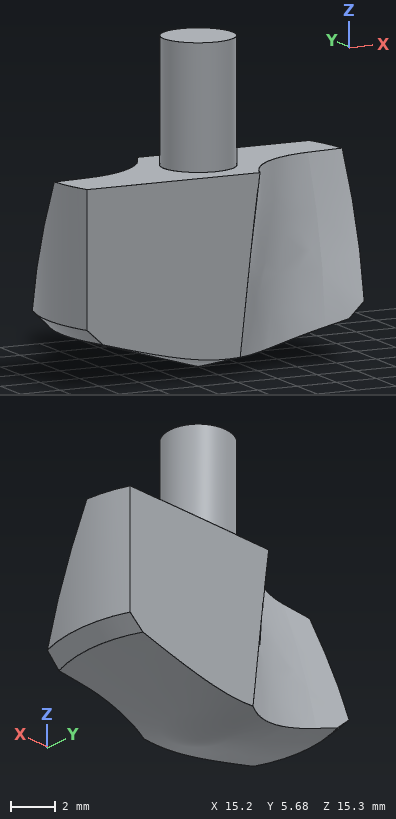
import cadquery as cq
import math

total_height = 15.3
shank_diameter = 3.5
shank_length = 5.98
head_diameter = 15.2
blade_thickness = 5.68

cone_height = 2.08
shoulder_chamfer = 0.73

gullet_radius = 4.71
gullet_x = 6.18
gullet_y = -4.3
lip_angle = 5.1
twist_rate = 3.464

head_height = total_height - shank_length
head_radius = head_diameter / 2
cutter_reach = 1.2 * head_radius


def head_blank():
    """Pointed round head, trimmed to a flat blade."""
    chamfer_radius = head_radius - shoulder_chamfer
    pointed_round = (
        cq.Workplane("XZ")
        .moveTo(0, 0)
        .lineTo(chamfer_radius, cone_height)
        .lineTo(head_radius, cone_height + shoulder_chamfer)
        .lineTo(head_radius, head_height)
        .lineTo(0, head_height)
        .close()
        .revolve(360, (0, 0, 0), (0, 1, 0))
    )
    blade = cq.Workplane("XY").box(
        head_diameter, blade_thickness, head_height, centered=(True, True, False)
    )
    return pointed_round.intersect(blade)


def gullet_point(angle):
    """Point on the gullet circle at an angle in degrees from the X axis."""
    turn = math.radians(angle)
    return (
        gullet_x + gullet_radius * math.cos(turn),
        gullet_y + gullet_radius * math.sin(turn),
    )


def flute_cutter():
    """Twisted flute whose section reaches its unrotated position at the head top."""
    lip_start_angle = 90 + lip_angle
    gullet_end_angle = 180
    lip_start = gullet_point(lip_start_angle)
    gullet_middle = gullet_point((lip_start_angle + gullet_end_angle) / 2)
    gullet_end = gullet_point(gullet_end_angle)
    lip_rise = (cutter_reach - lip_start[0]) * math.tan(math.radians(lip_angle))
    full_twist = twist_rate * head_height
    return (
        cq.Workplane("XY")
        .transformed(rotate=(0, 0, -full_twist))
        .moveTo(cutter_reach, lip_start[1] + lip_rise)
        .lineTo(*lip_start)
        .threePointArc(gullet_middle, gullet_end)
        .lineTo(gullet_end[0], -cutter_reach)
        .lineTo(cutter_reach, -cutter_reach)
        .close()
        .twistExtrude(head_height, full_twist)
    )


head = head_blank()
flute = flute_cutter()
for flute_turn in (0, 180):
    head = head.cut(flute.rotate((0, 0, 0), (0, 0, 1), flute_turn))

shank = (
    cq.Workplane("XY")
    .workplane(offset=head_height)
    .circle(shank_diameter / 2)
    .extrude(shank_length)
)

result = head.union(shank)